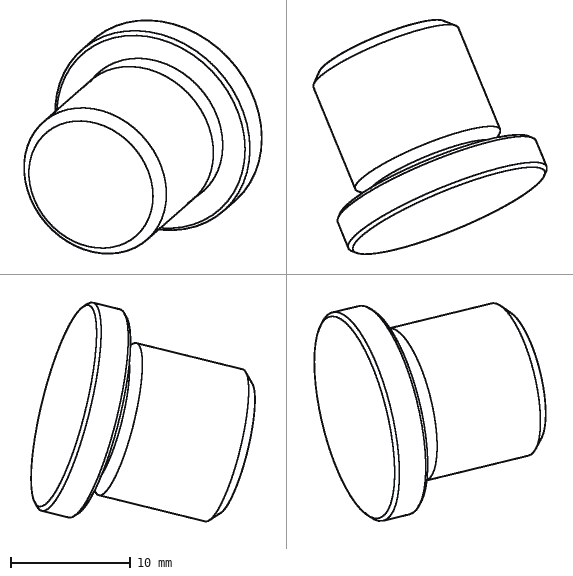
import cadquery as cq

head_diameter = 18.0
shank_diameter = 13.15
total_length = 15.0
head_thickness = 3.0
head_edge = 0.3
tip_chamfer = 0.85
groove_depth = 0.85
groove_head_depth = 0.9

head_radius = head_diameter / 2
shank_radius = shank_diameter / 2
groove_radius = shank_radius - groove_depth
head_face = total_length - head_thickness
groove_bottom = head_face - groove_head_depth

profile = (
    cq.Workplane("XY")
    .moveTo(0, 0)
    .lineTo(shank_radius - tip_chamfer, 0)
    .lineTo(shank_radius, tip_chamfer)
    .lineTo(shank_radius, groove_bottom - groove_depth)
    .lineTo(groove_radius, groove_bottom)
    .lineTo(groove_radius + groove_head_depth, head_face)
    .lineTo(head_radius - head_edge, head_face)
    .lineTo(head_radius, head_face + head_edge)
    .lineTo(head_radius, total_length - head_edge)
    .lineTo(head_radius - head_edge, total_length)
    .lineTo(0, total_length)
    .close()
)

result = profile.revolve(360, (0, 0, 0), (0, 1, 0))